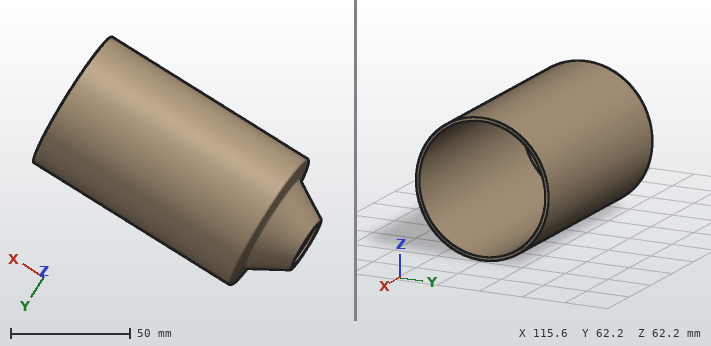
import cadquery as cq
import math

total_length = 115.55
body_diameter = 62.2
body_bore_diameter = 59.0
tip_diameter = 25.0
tip_bore_diameter = 20.0

nose_half_angle = math.radians(30)
shoulder_tilt = math.radians(10)
shoulder_end_x = 18.0
edge_radius = 1.0

tip_bore_length = 1.5
inner_neck_x = 15.8

body_radius = body_diameter / 2
body_bore_radius = body_bore_diameter / 2
tip_radius = tip_diameter / 2
tip_bore_radius = tip_bore_diameter / 2
nose_slope = math.tan(nose_half_angle)
shoulder_slope = math.tan(shoulder_tilt)
wall = body_radius - body_bore_radius

shoulder_height = (body_radius - tip_radius - nose_slope * shoulder_end_x) / (1 - nose_slope * shoulder_slope)
neck_x = shoulder_end_x - shoulder_slope * shoulder_height
neck_radius = body_radius - shoulder_height

inner_neck_radius = tip_bore_radius + nose_slope * (inner_neck_x - tip_bore_length)
inner_shoulder_end_x = shoulder_end_x + wall * (1 - math.sin(shoulder_tilt)) / math.cos(shoulder_tilt)


def turned(corners):
    """Solid of revolution about X with the given (x, radius) corners, closed along the axis."""
    first_x = corners[0][0]
    last_x = corners[-1][0]
    outline = cq.Workplane("XY").polyline([(first_x, 0), *corners, (last_x, 0)]).close()
    return outline.revolve(360, (0, 0, 0), (1, 0, 0))


def outer_body():
    solid = turned(
        [
            (0, tip_radius),
            (neck_x, neck_radius),
            (shoulder_end_x, body_radius),
            (total_length, body_radius),
        ]
    )
    return solid.edges("%CIRCLE").edges("not >X").fillet(edge_radius)


def cavity():
    return turned(
        [
            (0, tip_bore_radius),
            (tip_bore_length, tip_bore_radius),
            (inner_neck_x, inner_neck_radius),
            (inner_shoulder_end_x, body_bore_radius),
            (total_length, body_bore_radius),
        ]
    )


result = outer_body().cut(cavity())